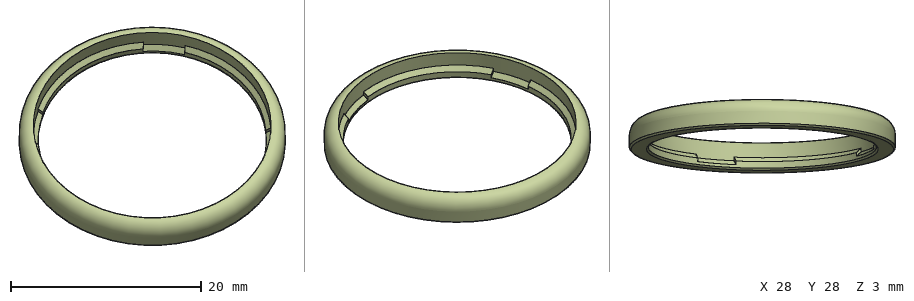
import cadquery as cq
import math

outer_diameter = 28.0
height = 3.0
bore_diameter = 25.0
outer_radius = outer_diameter / 2
bore_radius = bore_diameter / 2
crown_radius = outer_radius - bore_radius
base_chamfer = 0.2

lip_diameter = 24.0
lip_radius = lip_diameter / 2
lip_slope = bore_radius - lip_radius
lip_top = 1.4

notch_width = 4.4
notch_first_angle = 45.0
notch_depth = 0.4
strip_overrun = 0.55


def ring_body(cone_top):
    """Revolve the wall section; the lip's cone meets the bore at cone_top."""
    crown_diagonal = crown_radius * math.sqrt(0.5)
    crown_base = height - crown_radius
    section = (
        cq.Workplane("XZ")
        .moveTo(lip_radius + base_chamfer, 0)
        .lineTo(outer_radius - base_chamfer, 0)
        .lineTo(outer_radius, base_chamfer)
        .lineTo(outer_radius, crown_base)
        .threePointArc(
            (bore_radius + crown_diagonal, crown_base + crown_diagonal),
            (bore_radius, height),
        )
        .lineTo(bore_radius, cone_top)
        .lineTo(lip_radius, cone_top - lip_slope)
        .lineTo(lip_radius, base_chamfer)
        .close()
    )
    return section.revolve(360, (0, 0), (0, 1))


def notch_strips():
    """Radial strips that mark out where the notches interrupt the lip."""
    strip = cq.Workplane("XY").box(
        bore_diameter + strip_overrun, notch_width, lip_top + strip_overrun, centered=(True, True, False)
    )
    first = strip.rotate((0, 0, 0), (0, 0, 1), notch_first_angle)
    second = first.rotate((0, 0, 0), (0, 0, 1), 90)
    return first.union(second)


strips = notch_strips()
plain_segments = ring_body(lip_top).cut(strips)
notched_segments = ring_body(lip_top - notch_depth).intersect(strips)
result = plain_segments.union(notched_segments)